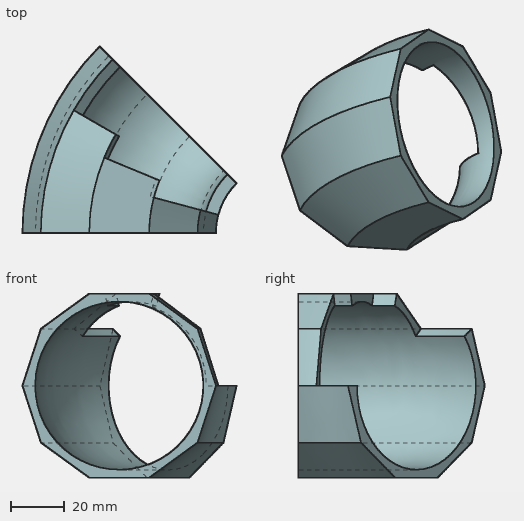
import cadquery as cq
import math

SIDES = 10
OVERALL_HEIGHT = 68.52
BORE_RADIUS = 31.25
BEND_RADIUS = 62.25
FULL_BEND = 45.0

SIDE_ANGLE = 360.0 / SIDES
CORNER_RADIUS = OVERALL_HEIGHT / 2 / math.cos(math.radians(SIDE_ANGLE / 2))

SECTORS = [
    (0, 2, 15.0),
    (2, 3, 22.5),
    (3, 4, 30.0),
    (4, SIDES, FULL_BEND),
]


def section_point(radius, corner):
    """Point of the XZ section at a radius, in the direction of a (possibly fractional) corner."""
    angle = math.radians(corner * SIDE_ANGLE)
    return (radius * math.cos(angle), radius * math.sin(angle))


def elbow_sector(first, last, bend_angle):
    """Part of the ring section between two corners, swept from y = 0 toward +Y."""
    corners = [section_point(CORNER_RADIUS, corner) for corner in range(first, last + 1)]
    profile = (
        cq.Workplane("XZ")
        .polyline(corners)
        .lineTo(*section_point(BORE_RADIUS, last))
        .threePointArc(
            section_point(BORE_RADIUS, (first + last) / 2),
            section_point(BORE_RADIUS, first),
        )
        .close()
    )
    return profile.revolve(bend_angle, (BEND_RADIUS, 0), (BEND_RADIUS, -1))


result = elbow_sector(*SECTORS[0])
for sector in SECTORS[1:]:
    result = result.union(elbow_sector(*sector))